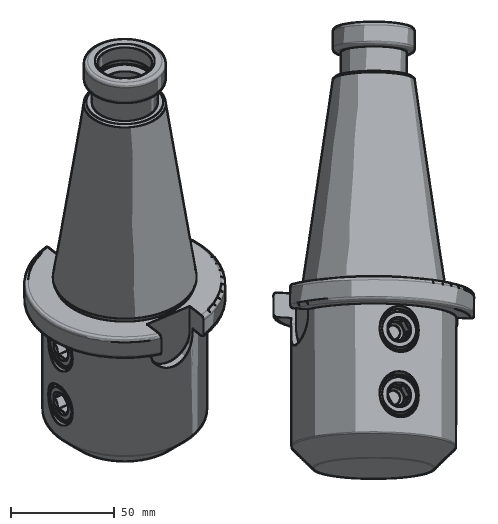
import cadquery as cq
import math

total_height = 216.8
collar_bottom = 204.9
taper_top = 192.5
taper_bottom = 88.7
flange_top = 86.3
flange_bottom = 74.1

body_diameter = 80.0
flange_diameter = 97.5
undercut_diameter = 68.0
gauge_diameter = 69.8
neck_diameter = 32.0
collar_diameter = 39.9

taper_ratio = 7 / 24
taper_edge_chamfer = 1.0
nose_chamfer = 10.6
nose_edge_radius = 1.0
rim_radius = 2.0

rim_bore_radius = 14.5
counterbore_radius = 13.2
counterbore_depth = 11.5
groove_radius = 14.0
groove_height = 2.5
rim_chamfer_depth = 1.3
drill_radius = 10.5
drill_chamfer_depth = 2.0
drill_depth = 26.0
drill_point_angle = 118.0

slot_width = 25.5
slot_floor_offset = 35.5
slot_bottom = 58.5

screw_heights = (30.0, 62.0)
screw_diameter = 20.0
screw_face_offset = 38.5
screw_chamfer = 1.3
hole_chamfer = 1.3
socket_across_flats = 10.0
socket_rim_diameter = 12.1
socket_depth = 7.5
socket_floor_diameter = 7.0
socket_floor_drop = 1.3

body_radius = body_diameter / 2


def disc(diameter, bottom, top):
    """Plain cylinder on the Z axis between two heights."""
    return cq.Workplane("XY", origin=(0, 0, bottom)).circle(diameter / 2).extrude(top - bottom)


def frustum(bottom_diameter, top_diameter, bottom, top):
    """Cone on the Z axis between two heights."""
    return (
        cq.Workplane("XY", origin=(0, 0, bottom))
        .circle(bottom_diameter / 2)
        .workplane(offset=top - bottom)
        .circle(top_diameter / 2)
        .loft()
    )


def turned_blank():
    """Nose, body, flange, taper, neck and collar before any cutting."""
    body = disc(body_diameter, 0, flange_bottom).faces("<Z").chamfer(nose_chamfer)
    body = body.edges("%CIRCLE and (not >Z)").fillet(nose_edge_radius)
    flange = disc(flange_diameter, flange_bottom, flange_top).edges("%CIRCLE").fillet(rim_radius)
    undercut = frustum(undercut_diameter, gauge_diameter, flange_top, taper_bottom)
    taper_length = taper_top - taper_bottom
    taper_top_diameter = gauge_diameter - taper_ratio * taper_length
    taper = frustum(gauge_diameter, taper_top_diameter, taper_bottom, taper_top)
    taper = taper.faces(">Z").chamfer(taper_edge_chamfer)
    neck = disc(neck_diameter, taper_top, collar_bottom)
    collar = disc(collar_diameter, collar_bottom, total_height).edges("%CIRCLE").fillet(rim_radius)
    return body.union(flange).union(undercut).union(taper).union(neck).union(collar)


def stepped_bore():
    """Cutter for the grooved counterbore and the chamfered, pointed hole below it."""
    point_height = drill_radius / math.tan(math.radians(drill_point_angle / 2))
    outline = [
        (0, 0),
        (rim_bore_radius, 0),
        (counterbore_radius, -rim_chamfer_depth),
        (counterbore_radius, -counterbore_depth + groove_height),
        (groove_radius, -counterbore_depth + groove_height),
        (groove_radius, -counterbore_depth),
        (counterbore_radius, -counterbore_depth),
        (drill_radius, -counterbore_depth - drill_chamfer_depth),
        (drill_radius, -drill_depth),
        (0, -drill_depth - point_height),
    ]
    return (
        cq.Workplane("XZ", origin=(0, 0, total_height))
        .polyline(outline)
        .close()
        .revolve(360, (0, 0, 0), (0, 1, 0))
    )


def drive_slot(side):
    """Cutter for one round-bottomed slot; side is +1 for +X, -1 for -X."""
    half_width = slot_width / 2
    return (
        cq.Workplane("YZ", origin=(side * slot_floor_offset, 0, 0))
        .moveTo(-half_width, flange_top)
        .lineTo(-half_width, slot_bottom + half_width)
        .threePointArc((0, slot_bottom), (half_width, slot_bottom + half_width))
        .lineTo(half_width, flange_top)
        .close()
        .extrude(side * flange_diameter / 2)
    )


def screw_axis_turning(points, height):
    """Revolve a (radius, distance from the axis) outline around a screw axis."""
    outline = [(radius, -distance) for radius, distance in points]
    return (
        cq.Workplane("XY", origin=(0, 0, height))
        .polyline(outline)
        .close()
        .revolve(360, (0, 0, 0), (0, 1, 0))
    )


def screw_recess(height):
    """Cutter around and inside one screw, leaving its chamfered end face."""
    screw_radius = screw_diameter / 2
    around_screw = screw_axis_turning(
        [
            (0, screw_face_offset),
            (screw_radius - screw_chamfer, screw_face_offset),
            (screw_radius, screw_face_offset - screw_chamfer),
            (screw_radius, body_radius - hole_chamfer),
            (screw_radius + hole_chamfer, body_radius),
            (0, body_radius),
        ],
        height,
    )

    hexagon_floor = screw_face_offset - socket_depth
    socket_corner_diameter = socket_across_flats / math.cos(math.pi / 6)
    hexagon = (
        cq.Workplane("XZ", origin=(0, -hexagon_floor, height))
        .polygon(6, socket_corner_diameter)
        .extrude(socket_depth)
    )
    socket_rim_chamfer = (socket_rim_diameter - socket_across_flats) / 2
    socket_rim = screw_axis_turning(
        [
            (0, screw_face_offset),
            (socket_rim_diameter / 2, screw_face_offset),
            (socket_across_flats / 2, screw_face_offset - socket_rim_chamfer),
            (0, screw_face_offset - socket_rim_chamfer),
        ],
        height,
    )
    socket_floor = screw_axis_turning(
        [
            (0, hexagon_floor),
            (socket_across_flats / 2, hexagon_floor),
            (socket_floor_diameter / 2, hexagon_floor - socket_floor_drop),
            (0, hexagon_floor - socket_floor_drop),
        ],
        height,
    )
    return around_screw.union(hexagon).union(socket_rim).union(socket_floor)


result = turned_blank().cut(stepped_bore())
for side in (1, -1):
    result = result.cut(drive_slot(side))
for screw_height in screw_heights:
    result = result.cut(screw_recess(screw_height))